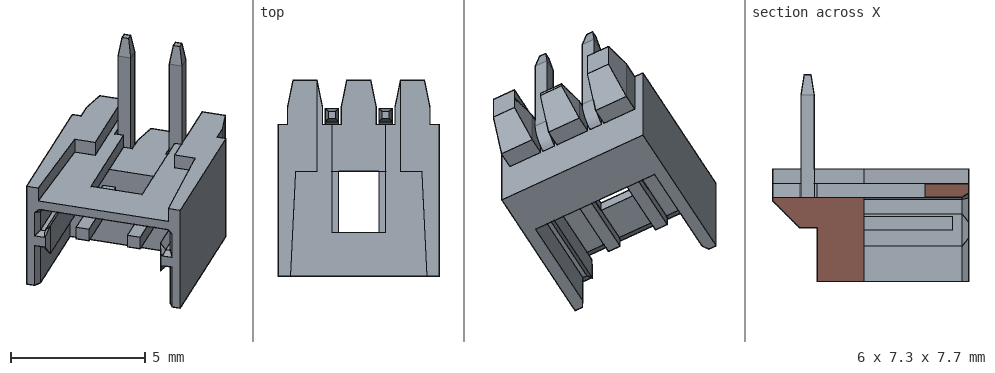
import cadquery as cq


housing_width = 6.0
housing_length = 5.65
housing_height = 4.2
total_length = 7.3
half_width = housing_width / 2

cavity_length = 3.9
side_wall = 0.47
cavity_top = 3.14
corner_chamfer = 0.08
mouth_flare = 0.155
mouth_flare_length = 0.25
mouth_corner_chamfer = 0.18

rail_height = 1.917
rail_tip = 0.85
rail_tip_half_height = 0.6
rail_neck_half_height = 0.35
rail_flare_start = 0.64
mouth_rail_tip = 0.75
mouth_rail_tip_half_height = 0.285
mouth_rail_neck_half_height = 0.21
mouth_rail_flare_start = 0.69

plate_top = 3.65
ledge_width_front = 0.46
ledge_width_rear = 0.65
ledge_step_y = 3.9
rear_ledge_width = 1.45

slot_width = 2.0
slot_front = 1.635
slot_floor = cavity_top

tab_pitch = 2.0
tab_width = 1.31
tab_tip_width = 0.9
tab_taper_start = 6.3
tab_bottom = 2.0
tab_tip_bottom = 3.0

pin_pitch = 2.0
pin_size = 0.5
pin_front = 0.6
pin_rear = 6.25
pin_bottom = rail_height
pin_top = 7.7
pin_bend_radius = 1.0
pin_tip_length = 0.75
pin_tip_size = 0.26


def cavity_outline(plane, wall, top, corner, flare_start, neck_half, tip, tip_half):
    """Cavity section with a dovetail rail standing out from each side wall."""
    below_feet = -housing_height
    left_side = [
        (wall - half_width, below_feet),
        (wall - half_width, rail_height - neck_half),
        (flare_start - half_width, rail_height - neck_half),
        (tip - half_width, rail_height - tip_half),
        (tip - half_width, rail_height + tip_half),
        (flare_start - half_width, rail_height + neck_half),
        (wall - half_width, rail_height + neck_half),
        (wall - half_width, top - corner),
        (wall + corner - half_width, top),
    ]
    right_side = [(-x, z) for x, z in reversed(left_side)]
    return plane.polyline(left_side + right_side).close()


def inner_outline(plane):
    return cavity_outline(
        plane, side_wall, cavity_top, corner_chamfer,
        rail_flare_start, rail_neck_half_height, rail_tip, rail_tip_half_height,
    )


def make_cavity():
    straight = inner_outline(cq.Workplane("XZ")).extrude(-cavity_length)
    mouth = cavity_outline(
        cq.Workplane("XZ"), side_wall - mouth_flare, cavity_top + mouth_flare, mouth_corner_chamfer,
        mouth_rail_flare_start, mouth_rail_neck_half_height, mouth_rail_tip, mouth_rail_tip_half_height,
    )
    flared = inner_outline(mouth.workplane(offset=-mouth_flare_length)).loft(ruled=True)
    return straight.union(flared)


def make_tabs():
    """Three rear tabs, tapered in plan and sloped underneath."""
    plan = cq.Workplane("XY")
    for index in (-1, 0, 1):
        center = index * tab_pitch
        outline = [
            (center - tab_width / 2, cavity_length),
            (center - tab_width / 2, tab_taper_start),
            (center - tab_tip_width / 2, total_length),
            (center + tab_tip_width / 2, total_length),
            (center + tab_width / 2, tab_taper_start),
            (center + tab_width / 2, cavity_length),
        ]
        plan = plan.polyline(outline).close()
    prisms = plan.extrude(housing_height)
    side_profile = [
        (cavity_length, tab_bottom),
        (tab_taper_start, tab_bottom),
        (total_length, tab_tip_bottom),
        (total_length, housing_height),
        (cavity_length, housing_height),
    ]
    envelope = cq.Workplane("YZ").polyline(side_profile).close().extrude(half_width, both=True)
    return prisms.intersect(envelope)


def make_top_recess():
    left_edge = [
        (ledge_width_front - half_width, 0),
        (ledge_width_rear - half_width, ledge_step_y),
        (rear_ledge_width - half_width, ledge_step_y),
        (rear_ledge_width - half_width, total_length),
    ]
    right_edge = [(-x, y) for x, y in reversed(left_edge)]
    plane = cq.Workplane("XY").workplane(offset=plate_top)
    return plane.polyline(left_edge + right_edge).close().extrude(housing_height - plate_top)


def make_slot():
    return cq.Workplane("XY").box(
        slot_width, total_length - slot_front, housing_height - slot_floor, centered=(True, False, False)
    ).translate((0, slot_front, slot_floor))


def make_housing():
    block = cq.Workplane("XY").box(
        housing_width, housing_length, housing_height, centered=(True, False, False)
    )
    housing = block.cut(make_cavity()).union(make_tabs())
    return housing.cut(make_top_recess()).cut(make_slot())


def make_pin(x):
    """Square pin that runs rearward, bends up and ends in a tapered tip."""
    shank_top = pin_top - pin_tip_length
    inner_radius = pin_bend_radius - pin_size
    bend_y = pin_rear - pin_bend_radius
    bend_z = pin_bottom + pin_bend_radius
    shank = (
        cq.Workplane("YZ")
        .moveTo(pin_front, pin_bottom)
        .lineTo(bend_y, pin_bottom)
        .radiusArc((pin_rear, bend_z), -pin_bend_radius)
        .lineTo(pin_rear, shank_top)
        .lineTo(pin_rear - pin_size, shank_top)
        .lineTo(pin_rear - pin_size, bend_z)
        .radiusArc((bend_y, pin_bottom + pin_size), inner_radius)
        .lineTo(pin_front, pin_bottom + pin_size)
        .close()
        .extrude(pin_size / 2, both=True)
    )
    tip = (
        cq.Workplane("XY", origin=(0, pin_rear - pin_size / 2, shank_top))
        .rect(pin_size, pin_size)
        .workplane(offset=pin_tip_length)
        .rect(pin_tip_size, pin_tip_size)
        .loft()
    )
    return shank.union(tip).translate((x, 0, 0))


result = make_housing()
for side in (-1, 1):
    result = result.union(make_pin(side * pin_pitch / 2))